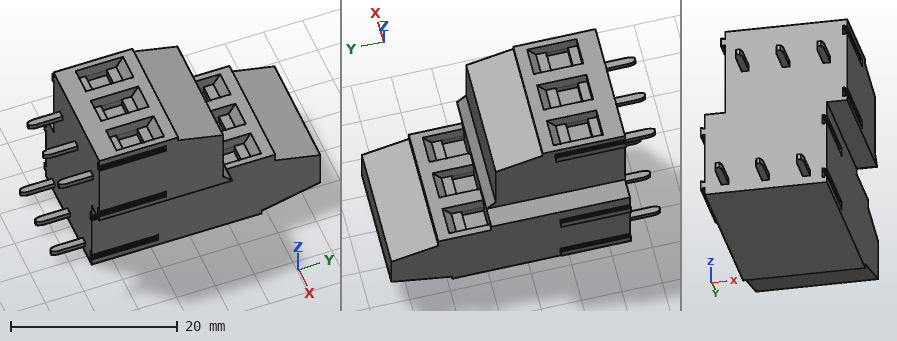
import cadquery as cq
import math


poles = 3
pitch = 5.0
body_width = poles * pitch
tier_shift = pitch / 2
tier_setback = 13.52
total_height = 22.0

lower_back = 29.5
lower_deck_back = 23.7
lower_deck_top = 10.2
lower_slope_top = 9.13
lower_nose_top = 7.6
lower_nose_bottom = 2.5
lower_foot_back = 21.97
lower_foot_height = 0.5
riser_back = 17.15
ledge_back_top = 11.05
ledge_front_top = 10.95

upper_bottom = ledge_front_top
upper_back = lower_back - tier_setback
upper_deck_back = lower_deck_back - tier_setback
upper_slope_top = 21.45
upper_nose_top = 19.9
upper_skirt_height = riser_back - upper_back

pocket_width = 3.4
pocket_front = 2.55
pocket_back = 8.65
shelf_depth = 1.08
shelf_back = 7.65
pocket_side_draft = 0.35
slot_front = 3.7
slot_back = 6.4
slot_depth = 2.05

pin_width = 0.88
pin_thickness = 0.68
pin_length = 4.3
pin_root = 0.35
pin_tip_length = 0.95
pin_tip_radius = 2.0
lower_pin_z = 1.45
upper_pin_z = 16.65

coupling_length = 8.62
head_thickness = 0.2
head_bevel = 0.15
rib_depth = 0.5
rib_head_height = 1.05
rib_neck_height = 0.85
groove_depth = 0.55
groove_head_height = 1.15
groove_neck_height = 0.88
low_coupling_z = 1.35
middle_coupling_z = 8.65
overhang_coupling_z = 12.15
top_coupling_z = 20.62


def box(x0, x1, y0, y1, z0, z1):
    """Block given by its limits along each axis."""
    return cq.Workplane("XY").box(x1 - x0, y1 - y0, z1 - z0, centered=False).translate((x0, y0, z0))


def tier(outline, left):
    """Extrude a (Y, Z) side outline over the body width, starting at X = left."""
    return cq.Workplane("YZ").workplane(offset=left).polyline(outline).close().extrude(body_width)


def pole_centers(left):
    """X positions of the poles of the tier that starts at X = left."""
    return [left + (i + 0.5) * pitch for i in range(poles)]


def level_rectangle(x, half_width, y0, y1, z):
    """Closed rectangular wire at height z, centred on x."""
    corners = [
        cq.Vector(x - half_width, y0, z),
        cq.Vector(x + half_width, y0, z),
        cq.Vector(x + half_width, y1, z),
        cq.Vector(x - half_width, y1, z),
    ]
    return cq.Wire.makePolygon(corners, close=True)


def screw_pocket(x, top, front, slot_start, setback):
    """Pocket with drafted sides and back, and a deeper slot across its floor."""
    half_top = pocket_width / 2
    half_floor = half_top - pocket_side_draft
    back_top = pocket_back + setback
    back_floor = shelf_back + setback
    mouth = level_rectangle(x, half_top, front, back_top, top)
    floor = level_rectangle(x, half_floor, front, back_floor, top - shelf_depth)
    funnel = cq.Workplane(obj=cq.Solid.makeLoft([mouth, floor], True))
    slot = box(x - half_floor, x + half_floor, slot_start, slot_back + setback,
               top - slot_depth, top - shelf_depth)
    return funnel.union(slot)


def solder_pin(x, z):
    """Flat pin towards -Y whose tip narrows along two arcs tangent to its sides."""
    half = pin_width / 2
    tip_start = -(pin_length - pin_tip_length)

    def arc_half_width(distance):
        return half - pin_tip_radius + math.sqrt(pin_tip_radius ** 2 - distance ** 2)

    half_tip = arc_half_width(pin_tip_length)
    half_mid = arc_half_width(pin_tip_length / 2)
    mid_y = tip_start - pin_tip_length / 2
    return (
        cq.Workplane("XY")
        .moveTo(-half, pin_root)
        .lineTo(-half, tip_start)
        .threePointArc((-half_mid, mid_y), (-half_tip, -pin_length))
        .lineTo(half_tip, -pin_length)
        .threePointArc((half_mid, mid_y), (half, tip_start))
        .lineTo(half, pin_root)
        .close()
        .extrude(pin_thickness)
        .translate((x, 0, z - pin_thickness / 2))
    )


def t_bar(wall, z, depth, head_height, neck_height):
    """T-section bar along Y that reaches from X = wall to the left, head outermost."""
    outer = wall - depth
    bevel_start = outer + head_thickness
    bevel_end = bevel_start + head_bevel
    half_section = [
        (outer, head_height / 2),
        (bevel_start, head_height / 2),
        (bevel_end, neck_height / 2),
        (wall, neck_height / 2),
    ]
    mirrored_half = [(x, -h) for x, h in reversed(half_section)]
    return (
        cq.Workplane("XZ")
        .polyline(half_section + mirrored_half)
        .close()
        .extrude(-coupling_length)
        .translate((0, 0, z))
    )


lower_tier = tier(
    [
        (0, 0),
        (lower_foot_back, 0),
        (lower_foot_back, lower_foot_height),
        (lower_back, lower_nose_bottom),
        (lower_back, lower_nose_top),
        (lower_deck_back, lower_slope_top),
        (lower_deck_back, lower_deck_top),
        (riser_back, lower_deck_top),
        (riser_back, ledge_back_top),
        (0, ledge_front_top),
    ],
    left=0,
)
upper_tier = tier(
    [
        (0, upper_bottom),
        (riser_back, upper_bottom),
        (riser_back, ledge_back_top),
        (upper_back, ledge_back_top + upper_skirt_height),
        (upper_back, upper_nose_top),
        (upper_deck_back, upper_slope_top),
        (upper_deck_back, total_height),
        (0, total_height),
    ],
    left=tier_shift,
)
result = lower_tier.union(upper_tier)

for x in pole_centers(tier_shift):
    result = result.cut(screw_pocket(x, total_height, pocket_front, slot_front, 0))
for x in pole_centers(0):
    result = result.cut(screw_pocket(x, lower_deck_top, riser_back, riser_back, tier_setback))

for left, pin_z in ((0, lower_pin_z), (tier_shift, upper_pin_z)):
    for x in pole_centers(left):
        result = result.union(solder_pin(x, pin_z))

for wall, rib_z in ((0, low_coupling_z), (0, middle_coupling_z), (tier_shift, top_coupling_z)):
    result = result.union(t_bar(wall, rib_z, rib_depth, rib_head_height, rib_neck_height))

for wall, groove_z in (
    (body_width, low_coupling_z),
    (body_width, middle_coupling_z),
    (body_width + tier_shift, overhang_coupling_z),
    (body_width + tier_shift, top_coupling_z),
):
    result = result.cut(t_bar(wall, groove_z, groove_depth, groove_head_height, groove_neck_height))